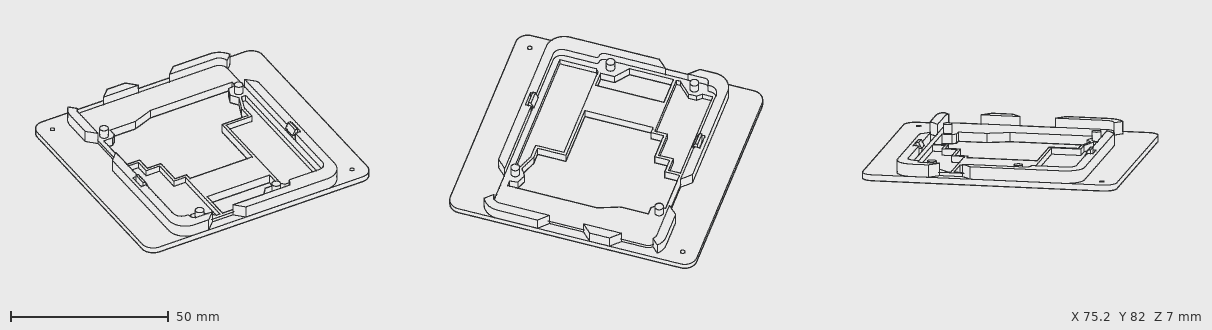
import cadquery as cq

plate_x = 75.2
plate_y = 82.0
plate_top = 2.0
plate_corner_radius = 4.0
hole_diameter = 1.4
hole_inset = 5.0

floor_top = 3.0
wall_top = 6.0
wall_thickness = 3.0
wall_corner_radius = 6.0
wall_half_x = 37.55
wall_half_y = 30.2
board_half_x = wall_half_x - wall_thickness
board_half_y = wall_half_y - wall_thickness
board_corner_radius = wall_corner_radius - wall_thickness

step_x = 32.1
step_top = 13.0
step_bottom = -23.2
step_inner_radius = 0.8
step_outer_radius = 1.55

left_gaps = [(-3.6, 7.7), (-27.4, -16.3)]
right_gaps = [(-16.0, -8.5)]
back_gaps = [(-31.7, -20.5)]
front_gaps = [(-18.9, -7.55)]

rim = 1.0
pocket_floor = 1.0

pin_diameter = 2.8
pin_top = 6.0
pin_centers = [(-19.0, 24.1), (31.7, 8.85), (31.7, -19.0), (-20.3, -24.2)]

clip_x = 9.3
clip_width = 4.5
clip_thickness = 1.0
clip_top = 7.0
crest_width = 0.8
hook_reach = 0.8
hook_tip_z = 5.0
notch_width = 5.25
notch_depth = 1.9


def prism(points, bottom, top):
    """Extrude a closed XY outline between two heights."""
    base = cq.Workplane("XY").workplane(offset=bottom)
    return base.polyline(points).close().extrude(top - bottom)


def rounded_block(size_x, size_y, height, radius):
    """Rounded rectangle standing on Z = 0, centred on the Z axis."""
    return cq.Workplane("XY").rect(size_x, size_y).extrude(height).edges("|Z").fillet(radius)


def board_block(height):
    """Board outline extruded from Z = 0, with its stepped +X edge."""
    outline = [
        (-board_half_x, -board_half_y),
        (step_x, -board_half_y),
        (step_x, step_bottom),
        (board_half_x, step_bottom),
        (board_half_x, step_top),
        (step_x, step_top),
        (step_x, board_half_y),
        (-board_half_x, board_half_y),
    ]
    block = prism(outline, 0, height)
    block = block.edges("|Z").edges(">Y or <Y").fillet(board_corner_radius)
    block = block.edges("|Z").edges(">X").fillet(step_outer_radius)
    for step_y in (step_bottom, step_top):
        corner = cq.selectors.NearestToPointSelector((step_x, step_y, height / 2))
        block = block.edges("|Z").edges(corner).fillet(step_inner_radius)
    return block


def wall_gap(span, inner_distance):
    """Cutter for a gap in the +Y wall, spreading outward at 45 degrees.

    It also reaches inward past the inner face, so it can trim rounded corners.
    """
    start, end = span
    outer_distance = inner_distance + wall_thickness
    outline = [
        (start + wall_thickness, inner_distance - wall_thickness),
        (end - wall_thickness, inner_distance - wall_thickness),
        (end + wall_thickness, outer_distance),
        (start - wall_thickness, outer_distance),
    ]
    return prism(outline, plate_top, wall_top)


def make_wall():
    wall = rounded_block(2 * wall_half_x, 2 * wall_half_y, wall_top, wall_corner_radius)
    for span in back_gaps:
        wall = wall.cut(wall_gap(span, board_half_y))
    for span in front_gaps:
        wall = wall.cut(wall_gap(span, board_half_y).mirror("XZ"))
    for span in left_gaps:
        wall = wall.cut(wall_gap(span, board_half_x).rotate((0, 0, 0), (0, 0, 1), 90))
    for start, end in right_gaps:
        wall = wall.cut(wall_gap((-end, -start), board_half_x).rotate((0, 0, 0), (0, 0, 1), -90))
    return wall.cut(board_block(wall_top))


def make_notch():
    """Cutter that frees the back clip from the wall."""
    height = wall_top - floor_top
    notch = cq.Workplane("XY").box(notch_width, notch_depth, height, centered=(True, False, False))
    return notch.translate((clip_x, board_half_y, floor_top))


def make_clip():
    """Back clip: an upright strip with a hook leaning over the board."""
    outer_y = board_half_y + clip_thickness
    profile = [
        (outer_y, plate_top),
        (outer_y, clip_top),
        (outer_y - crest_width, clip_top),
        (board_half_y - hook_reach, hook_tip_z),
        (board_half_y, hook_tip_z),
        (board_half_y, plate_top),
    ]
    clip = cq.Workplane("YZ").polyline(profile).close().extrude(clip_width / 2, both=True)
    return clip.translate((clip_x, 0, 0))


window_left = -24.5
window_left_low = -21.9
window_right = 12.5
window_back = 24.85
window_front_left = -18.0
side_window_left = 23.45
side_window_right = 33.3
side_window_notch = 28.7
front_edge = -25.6

back_pocket_left = -16.4
back_pocket_right = 30.0
back_pocket_top = 25.2
back_pocket_bottom = 12.1
shoulder_x = -6.0
shoulder_y = 21.6
slant_end_x = -10.9

front_pocket_right = 30.3
pin_land_x = 29.0
stair_x = [-2.8, 2.1, 11.2]
stair_y = [-21.65, -16.7, -12.55]


def staircase(shift):
    """Steps of the front pocket, climbing from front left to back right.

    A positive shift moves them that far toward -X and +Y.
    """
    points = [(stair_x[0] - shift, front_edge)]
    for index, x in enumerate(stair_x):
        points.append((x - shift, stair_y[index] + shift))
        if index + 1 < len(stair_x):
            points.append((stair_x[index + 1] - shift, stair_y[index] + shift))
    return points


bridge_back = back_pocket_bottom - rim
bridge_front = stair_y[-1] + rim

main_window = [
    (window_left, window_back),
    (-22.55, window_back),
    (-22.2, 22.2),
    (-19.0, 21.0),
    (back_pocket_left, 22.7),
    (slant_end_x, shoulder_y - rim),
    (shoulder_x - rim, shoulder_y - rim),
    (shoulder_x - rim, bridge_back),
    (window_right, bridge_back),
    (window_right, bridge_front),
    *reversed(staircase(rim)),
    (window_front_left, front_edge),
    (window_front_left, -22.4),
    (-19.2, -21.1),
    (window_left_low, -21.1),
    (window_left_low, -11.9),
    (window_left, -4.9),
]

side_window = [
    (side_window_left, bridge_back),
    (side_window_notch, bridge_back),
    (side_window_notch, 6.6),
    (side_window_right, 3.0),
    (side_window_right, bridge_front),
    (side_window_left, bridge_front),
]

back_pocket = [
    (back_pocket_left, back_pocket_top),
    (back_pocket_right, back_pocket_top),
    (back_pocket_right, 13.0),
    (pin_land_x, back_pocket_bottom),
    (shoulder_x, back_pocket_bottom),
    (shoulder_x, shoulder_y),
    (slant_end_x, shoulder_y),
    (back_pocket_left, 23.6),
]

front_pocket = [
    *staircase(0),
    (side_window_right, stair_y[-1]),
    (side_window_right, -13.85),
    (pin_land_x, -18.0),
    (pin_land_x, -20.7),
    (front_pocket_right, -22.1),
    (front_pocket_right, front_edge),
]

plate = rounded_block(plate_x, plate_y, plate_top, plate_corner_radius)
result = plate.union(make_wall()).union(board_block(floor_top))

for outline in (main_window, side_window):
    result = result.cut(prism(outline, 0, floor_top))
for outline in (back_pocket, front_pocket):
    result = result.cut(prism(outline, pocket_floor, floor_top))

pins = cq.Workplane("XY").pushPoints(pin_centers).circle(pin_diameter / 2).extrude(pin_top)
result = result.union(pins)

notch = make_notch()
clip = make_clip()
result = result.cut(notch).cut(notch.mirror("XZ"))
result = result.union(clip).union(clip.mirror("XZ"))

hole_x = plate_x / 2 - hole_inset
hole_y = plate_y / 2 - hole_inset
holes = cq.Workplane("XY").pushPoints([(hole_x, hole_y), (-hole_x, -hole_y)])
result = result.cut(holes.circle(hole_diameter / 2).extrude(plate_top))